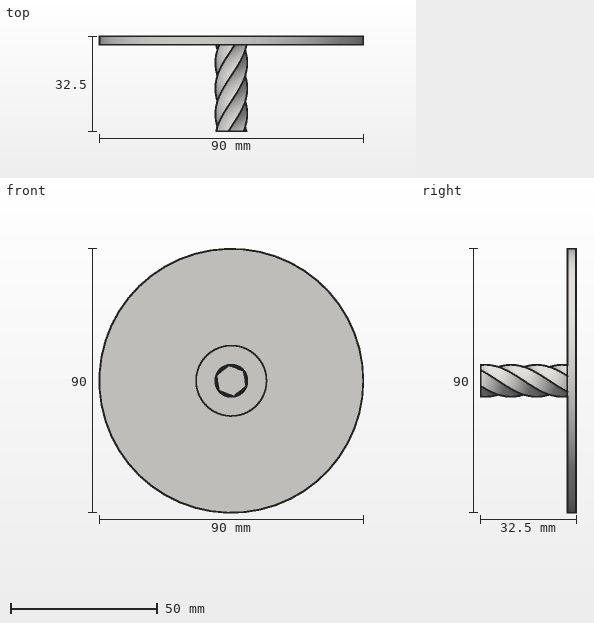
import cadquery as cq

disc_diameter = 90.0
disc_thickness = 3.0
overall_depth = 32.5

recess_diameter = 24.0
recess_depth = 1.0

shaft_corner_diameter = 11.0
shaft_sides = 6
shaft_end_angle = 41.0
twist_per_length = 6.889

shaft_base = disc_thickness - recess_depth
shaft_length = overall_depth - shaft_base
shaft_twist = twist_per_length * shaft_length


def make_disc():
    """Round plate with the recess sunk into its front (-Y) face."""
    plate = cq.Workplane("XZ").circle(disc_diameter / 2).extrude(disc_thickness)
    recess = (
        cq.Workplane("XZ", origin=(0, -shaft_base, 0))
        .circle(recess_diameter / 2)
        .extrude(recess_depth)
    )
    return plate.cut(recess)


def make_shaft():
    """Hexagon twisted along -Y, rising from the recess floor."""
    base_angle = shaft_end_angle - shaft_twist
    return (
        cq.Workplane("XZ", origin=(0, -shaft_base, 0))
        .transformed(rotate=(0, 0, base_angle))
        .polygon(shaft_sides, shaft_corner_diameter)
        .twistExtrude(shaft_length, shaft_twist)
    )


result = make_disc().union(make_shaft())